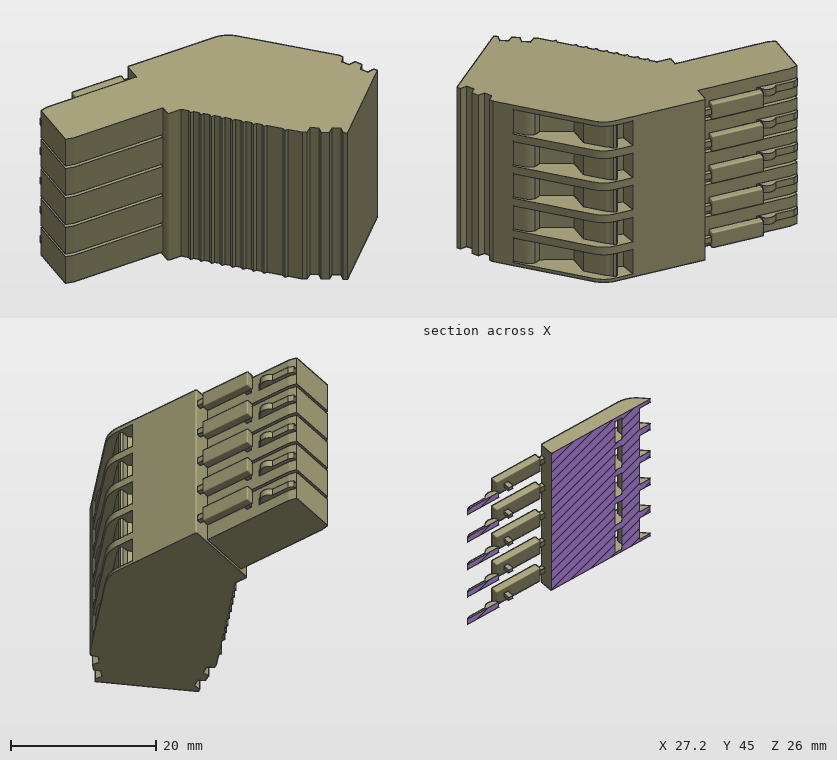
import cadquery as cq
import math

length_x = 27.18
length_y = 45.05
height = 26.0
pole_count = 5
pole_pitch = height / pole_count

foot_width = 11.75
shoulder_y = 15.1
shoulder_radius = 0.23
axis_offset = length_y - length_x
side_offset = 12.5
outer_bend_radius = 4.15

head_end = 43.9
head_half_width = side_offset / math.sqrt(2)
lip_half_width = (length_x + length_y) / math.sqrt(2) - head_end
tooth_profile = [(43.3, 7.3), (42.73, 6.45), (41.55, 6.75), (41.45, 7.8)]
tooth_count = 2
tooth_step_along = 2.95
tooth_step_across = 0.8
tooth_root_along = 37.95

ridge_leg = 0.5
first_ridge_x = 13.03
last_ridge_x = 22.63
ridge_slots = (0, 1, 2, 3, 4, 5, 6, 7, 9)
ridge_pitch = (last_ridge_x - first_ridge_x) / ridge_slots[-1]

plug_left = 2.55
plug_right = 10.28
plug_height = 4.75
plug_tip_inset = 0.25
plug_tip_length = 1.15

latch_height = 1.1
latch_tip = (2.35, 0.15)
latch_face_x = 2.05
latch_face_start_y = 0.85
hump_start_y = 3.55
hump_crest = (1.5, 4.7)
hump_end = (1.95, 5.65)
hump_blend_middle = (2.35, 5.9)
hump_blend_end_y = 6.25

plate_thickness = 1.2
plate_bottom = 6.3
plate_top = 14.1
plate_height = 2.5
plate_radius = 0.2
stem_left = 0.23
stem_right = 0.9
stem_height = 0.9
peg_bottom = 7.55
peg_top = 8.35
peg_height = 0.6

pocket_height = 3.95
pocket_top_wall = 0.7
pocket_bottom = 26.1
pocket_top = 39.9
pocket_overshoot = 1.35
pocket_undercut = [(0, pocket_bottom), (2.4, 26.45), (2.5, 26.8), (2.55, 27.25), (1.6, 28.15)]
pocket_step = [(0.65, 28.15), (0.35, 28.45), (0.55, 28.85), (0.95, 29.3), (1.13, 29.6), (3.5, 32.0)]
pocket_deep_floor = [(6.75, 32.0), (8.5, 35.9), (8.65, 36.33), (8.2, 37.2)]
pocket_curve_middle = (8.35, 37.95)
pocket_curve_end = (8.8, 38.62)
pocket_top_corner = (10.0, pocket_top)


def head_point(along, across):
    """XY point from the distance along the head axis and the distance across it, positive to the left."""
    across_from_origin = across + axis_offset / math.sqrt(2)
    return (
        (along - across_from_origin) / math.sqrt(2),
        (along + across_from_origin) / math.sqrt(2),
    )


def head_edge():
    """Toothed edge of one side of the head, from its root to the end lip, as (along, across)."""
    edge = [(head_end, lip_half_width)]
    for tooth in range(tooth_count):
        for along, across in tooth_profile:
            edge.append((along - tooth * tooth_step_along, across + tooth * tooth_step_across))
    edge.append((tooth_root_along, head_half_width))
    return edge[::-1]


def box(x_range, y_range, size_z, center_z):
    size_x = x_range[1] - x_range[0]
    size_y = y_range[1] - y_range[0]
    center = ((x_range[0] + x_range[1]) / 2, (y_range[0] + y_range[1]) / 2, center_z)
    return cq.Workplane("XY").box(size_x, size_y, size_z).translate(center)


def make_housing():
    inner_offset = axis_offset - side_offset
    outer_offset = axis_offset + side_offset
    right_edge = [head_point(along, -across) for along, across in head_edge()]
    left_edge = [head_point(along, across) for along, across in reversed(head_edge())]
    outer_corner = (0, outer_offset)
    outline = [
        (0, shoulder_y),
        (foot_width, shoulder_y),
        (foot_width, foot_width + inner_offset),
        *right_edge,
        *left_edge,
        outer_corner,
    ]
    housing = cq.Workplane("XY").polyline(outline).close().extrude(height)
    housing = housing.edges(cq.selectors.NearestToPointSelector((*outer_corner, height / 2)))
    housing = housing.fillet(outer_bend_radius)
    housing = housing.faces("<Y").edges("|Z").fillet(shoulder_radius)
    for slot in ridge_slots:
        tip_x = first_ridge_x + slot * ridge_pitch
        root_y = tip_x + inner_offset
        ridge = [
            (tip_x, root_y),
            (tip_x - ridge_leg, root_y),
            (tip_x - ridge_leg, root_y - ridge_leg),
            (tip_x, root_y - ridge_leg),
        ]
        housing = housing.union(cq.Workplane("XY").polyline(ridge).close().extrude(height))
    return housing


def make_plug(top_z):
    outline = [
        (plug_left + plug_tip_inset, 0),
        (plug_right - plug_tip_inset, 0),
        (plug_right, plug_tip_length),
        (plug_right, shoulder_y),
        (plug_left, shoulder_y),
        (plug_left, plug_tip_length),
    ]
    plug = cq.Workplane("XY").polyline(outline).close().extrude(plug_height)
    return plug.translate((0, 0, top_z - plug_height))


def make_latch(center_z):
    """Narrow strip along the plug that ends in a rounded hump blending into the plug."""
    root_x = plug_left + plug_tip_inset
    latch = (
        cq.Workplane("XY")
        .moveTo(root_x, latch_tip[1])
        .lineTo(*latch_tip)
        .lineTo(latch_face_x, latch_face_start_y)
        .lineTo(latch_face_x, hump_start_y)
        .threePointArc(hump_crest, hump_end)
        .threePointArc(hump_blend_middle, (plug_left, hump_blend_end_y))
        .lineTo(root_x, hump_blend_end_y)
        .close()
        .extrude(latch_height)
    )
    return latch.translate((0, 0, center_z - latch_height / 2))


def make_coding_plate(center_z):
    plate = box((0, plate_thickness), (plate_bottom, plate_top), plate_height, center_z)
    plate = plate.edges().fillet(plate_radius)
    stem_root = shoulder_y + shoulder_radius
    stem = box((stem_left, stem_right), (plate_top, stem_root), stem_height, center_z)
    peg = box((plate_thickness, plug_left), (peg_bottom, peg_top), peg_height, center_z)
    return plate.union(stem).union(peg)


def make_pocket(top_z):
    """Cutter for a pocket with an undercut foot, a shallow step and a deep floor."""
    lower_walls = pocket_undercut + pocket_step + pocket_deep_floor
    pocket = (
        cq.Workplane("XY")
        .moveTo(-pocket_overshoot, pocket_bottom)
        .polyline(lower_walls, includeCurrent=True)
        .threePointArc(pocket_curve_middle, pocket_curve_end)
        .lineTo(*pocket_top_corner)
        .lineTo(-pocket_overshoot, pocket_top)
        .close()
        .extrude(pocket_height)
    )
    return pocket.translate((0, 0, top_z - pocket_height))


result = make_housing()
for pole in range(pole_count):
    pole_top = height - pole * pole_pitch
    plug_center = pole_top - plug_height / 2
    result = result.cut(make_pocket(pole_top - pocket_top_wall))
    result = result.union(make_plug(pole_top))
    result = result.union(make_latch(plug_center))
    result = result.union(make_coding_plate(plug_center))